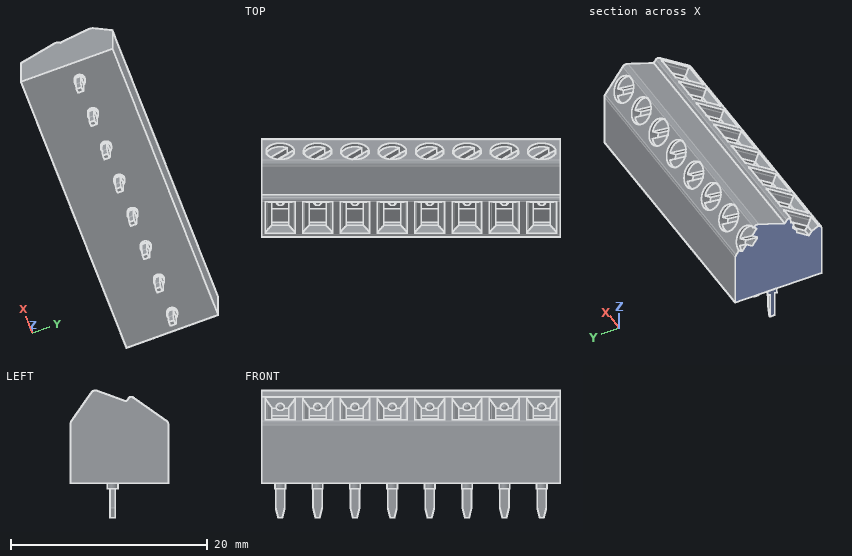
import cadquery as cq
import math


pole_count = 8
pitch = 3.81
width = pole_count * pitch
pole_xs = [(i - (pole_count - 1) / 2) * pitch for i in range(pole_count)]

depth = 10.0
height = 9.5
front_y = -5.7
back_y = front_y + depth
shoulder_z = 6.25
entry_angle = 35.0
screw_angle = 55.0
roof_angle = 20.0
notch_run = 4.3
wall_round = 0.5
ridge_round = 0.3

entry_width = 3.05
entry_start = 0.47
entry_length = 3.93
hole_width = 1.74
flare_depth = 0.8
lip_inset = 0.16
lip_depth = 0.28
lip_bulge = 0.025
front_flare = 0.42
rear_flare = 0.69
rear_flare_depth = 0.89
floor_depth = 1.35
step_run = 2.88
step_z = 6.9
ball_radius = 0.42
ball_run = 3.65
ball_z = 7.76

screw_diameter = 2.88
screw_recess = 0.45
screw_run = 8.75
slot_width = 0.75
slot_depth = 0.8
slot_angle = 45.0

collar_diameter = 1.1
collar_length = 0.55
pin_length = 3.5
pin_width = 0.95
pin_thickness = 0.55
tip_length = 1.0
tip_width = 0.45

entry_tan = math.tan(math.radians(entry_angle))
entry_sin = math.sin(math.radians(entry_angle))
entry_cos = math.cos(math.radians(entry_angle))
screw_tan = math.tan(math.radians(screw_angle))
screw_sin = math.sin(math.radians(screw_angle))
screw_cos = math.cos(math.radians(screw_angle))
roof_tan = math.tan(math.radians(roof_angle))
roof_cos = math.cos(math.radians(roof_angle))

crest_round_z = height - wall_round
crest_round_run = depth - (crest_round_z - shoulder_z + wall_round / screw_cos) / screw_tan
notch_z = crest_round_z + wall_round / roof_cos - (crest_round_run - notch_run) * roof_tan


def on_entry_slope(along, deep):
    """(Y, Z) of a point reached along the front slope and then square into it."""
    y = front_y + along * entry_cos + deep * entry_sin
    z = shoulder_z + along * entry_sin - deep * entry_cos
    return y, z


def make_shell():
    """Solid housing extruded along X from its side outline, with rounded corners."""
    notch_y = front_y + notch_run
    notch_along = notch_run * entry_cos + (notch_z - shoulder_z) * entry_sin
    ridge = on_entry_slope(notch_along, 0)
    back_slope_rise = depth * screw_tan + shoulder_z
    crest_run = (back_slope_rise - notch_z + notch_run * roof_tan) / (screw_tan + roof_tan)
    crest = (front_y + crest_run, shoulder_z + (depth - crest_run) * screw_tan)
    outline = [
        (front_y, 0),
        (front_y, shoulder_z),
        ridge,
        (notch_y, notch_z),
        crest,
        (back_y, shoulder_z),
        (back_y, 0),
    ]
    block = cq.Workplane("YZ").polyline(outline).close().extrude(width / 2, both=True)

    def edges_at(point):
        y, z = point
        near = 0.01
        box = cq.selectors.BoxSelector((-width, y - near, z - near), (width, y + near, z + near))
        return block.edges(box)

    for corner in [(front_y, shoulder_z), crest, (back_y, shoulder_z)]:
        block = edges_at(corner).fillet(wall_round)
    return edges_at(ridge).fillet(ridge_round)


def make_entry():
    """Flared wire entry with a stepped floor, as a cutting body at X = 0.

    The entry is the overlap of a side outline run along X and a cross outline run up the slope.
    """
    entry_end = entry_start + entry_length
    side_outline = [
        on_entry_slope(entry_start, 0),
        on_entry_slope(entry_start + front_flare, flare_depth),
        on_entry_slope(entry_start + front_flare, floor_depth),
        (front_y + step_run, shoulder_z + step_run * entry_tan - floor_depth / entry_cos),
        (front_y + step_run, step_z),
        on_entry_slope(entry_end - rear_flare, rear_flare_depth),
        on_entry_slope(entry_end, 0),
    ]
    lengthwise = cq.Workplane("YZ").polyline(side_outline).close().extrude(entry_width, both=True)

    half_rim = entry_width / 2
    half_lip = half_rim - lip_inset
    half_hole = hole_width / 2
    bottom = 2 * floor_depth
    lip_chord = math.hypot(lip_inset, lip_depth)
    lip_middle_x = half_rim - lip_inset / 2 + lip_bulge * lip_depth / lip_chord
    lip_middle_deep = lip_depth / 2 + lip_bulge * lip_inset / lip_chord
    across_plane = cq.Plane(
        origin=(0, *on_entry_slope(0, 0)),
        xDir=(1, 0, 0),
        normal=(0, entry_cos, entry_sin),
    )
    crosswise = (
        cq.Workplane(across_plane)
        .moveTo(-half_rim, 0)
        .lineTo(half_rim, 0)
        .threePointArc((lip_middle_x, lip_middle_deep), (half_lip, lip_depth))
        .lineTo(half_hole, flare_depth)
        .lineTo(half_hole, bottom)
        .lineTo(-half_hole, bottom)
        .lineTo(-half_hole, flare_depth)
        .lineTo(-half_lip, lip_depth)
        .threePointArc((-lip_middle_x, lip_middle_deep), (-half_rim, 0))
        .close()
        .extrude(2 * entry_end)
    )
    ball = cq.Workplane("XY").sphere(ball_radius).translate((0, front_y + ball_run, ball_z))
    return lengthwise.intersect(crosswise).cut(ball)


def make_screw_recess():
    """Round recess and the driver slot in its floor, as a cutting body at X = 0."""
    recess_plane = cq.Plane(
        origin=(0, front_y + screw_run, shoulder_z + (depth - screw_run) * screw_tan),
        xDir=(1, 0, 0),
        normal=(0, screw_sin, screw_cos),
    )
    slope = cq.Workplane(recess_plane)
    recess = slope.circle(screw_diameter / 2).extrude(-screw_recess)
    bore = slope.circle(screw_diameter / 2).extrude(-screw_recess - slot_depth)
    slot = (
        slope.transformed(rotate=(0, 0, slot_angle))
        .rect(2 * screw_diameter, slot_width)
        .extrude(-screw_recess - slot_depth)
    )
    return recess.union(slot.intersect(bore))


def make_housing():
    """Shell with a wire entry and a screw recess for every pole."""
    housing = make_shell()
    entry = make_entry()
    screw_recess_body = make_screw_recess()
    for x in pole_xs:
        housing = housing.cut(entry.translate((x, 0, 0)))
        housing = housing.cut(screw_recess_body.translate((x, 0, 0)))
    return housing


def make_pin(x):
    """Round collar against the housing underside, then a flat pin with a tapered tip."""
    collar = cq.Workplane("XY").circle(collar_diameter / 2).extrude(-collar_length)
    blade = (
        cq.Workplane("XZ")
        .polyline([
            (-pin_width / 2, -collar_length),
            (pin_width / 2, -collar_length),
            (pin_width / 2, tip_length - pin_length),
            (tip_width / 2, -pin_length),
            (-tip_width / 2, -pin_length),
            (-pin_width / 2, tip_length - pin_length),
        ])
        .close()
        .extrude(pin_thickness / 2, both=True)
    )
    return collar.union(blade).translate((x, 0, 0))


housing = make_housing()
pins = [make_pin(x) for x in pole_xs]

result = cq.Compound.makeCompound([housing.val(), *[pin.val() for pin in pins]])